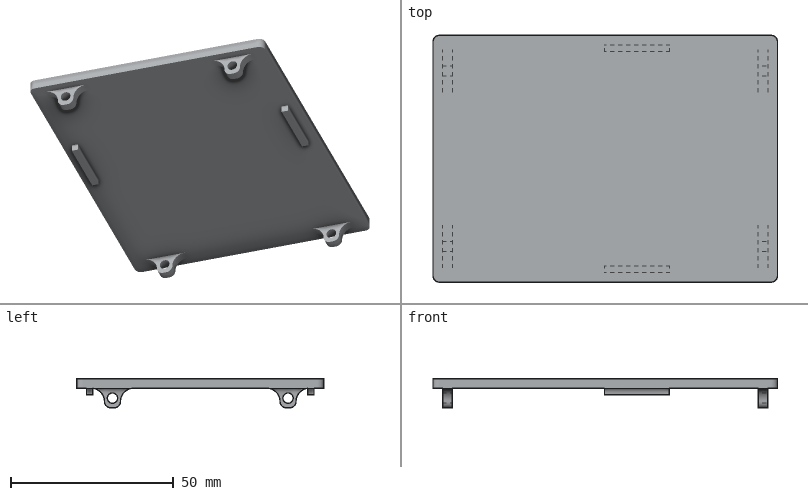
import cadquery as cq

PLATE_LENGTH = 106.0
PLATE_WIDTH = 76.0
PLATE_THICKNESS = 3.0
CORNER_RADIUS = 2.0

LUG_THICKNESS = 3.0
LUG_END_INSET = 3.0
LUG_SIDE_INSET = 11.0
LUG_DROP = 6.0
LUG_WIDTH = 5.0
LUG_ROOT_RADIUS = 4.0
LUG_TIP_RADIUS = LUG_DROP - LUG_ROOT_RADIUS
LUG_HOLE_DIAMETER = 3.1
LUG_HOLE_DEPTH = 3.0

BAR_LENGTH = 20.0
BAR_WIDTH = 2.0
BAR_DROP = 2.0
BAR_SIDE_INSET = 3.0
BAR_START_X = -0.25

OVERLAP = PLATE_THICKNESS / 2


def make_plate():
    plate = cq.Workplane("XY").box(
        PLATE_LENGTH, PLATE_WIDTH, PLATE_THICKNESS, centered=(True, True, False)
    )
    return plate.edges("|Z").fillet(CORNER_RADIUS)


def make_lug(start_x, center_y):
    """Lug with flared root and rounded tip, extruded towards +X from start_x."""
    half_width = LUG_WIDTH / 2
    half_root = half_width + LUG_ROOT_RADIUS
    half_tip = half_width - LUG_TIP_RADIUS
    profile_plane = cq.Workplane("YZ", origin=(start_x, center_y, 0))
    lug = (
        profile_plane
        .moveTo(-half_root, OVERLAP)
        .lineTo(-half_root, 0)
        .radiusArc((-half_width, -LUG_ROOT_RADIUS), LUG_ROOT_RADIUS)
        .radiusArc((-half_tip, -LUG_DROP), -LUG_TIP_RADIUS)
        .lineTo(half_tip, -LUG_DROP)
        .radiusArc((half_width, -LUG_ROOT_RADIUS), -LUG_TIP_RADIUS)
        .radiusArc((half_root, 0), LUG_ROOT_RADIUS)
        .lineTo(half_root, OVERLAP)
        .close()
        .extrude(LUG_THICKNESS)
    )
    hole = (
        profile_plane
        .center(0, -LUG_HOLE_DEPTH)
        .circle(LUG_HOLE_DIAMETER / 2)
        .extrude(LUG_THICKNESS)
    )
    return lug.cut(hole)


def make_bar(center_y):
    return (
        cq.Workplane("XY", origin=(BAR_START_X, center_y, -BAR_DROP))
        .box(BAR_LENGTH, BAR_WIDTH, BAR_DROP + OVERLAP, centered=(False, True, False))
    )


lug_center_x = PLATE_LENGTH / 2 - LUG_END_INSET - LUG_THICKNESS / 2
lug_center_y = PLATE_WIDTH / 2 - LUG_SIDE_INSET
bar_center_y = PLATE_WIDTH / 2 - BAR_SIDE_INSET - BAR_WIDTH / 2

result = make_plate()
for side in (-1, 1):
    result = result.union(make_bar(side * bar_center_y))
    for end in (-1, 1):
        lug_start_x = end * lug_center_x - LUG_THICKNESS / 2
        result = result.union(make_lug(lug_start_x, side * lug_center_y))